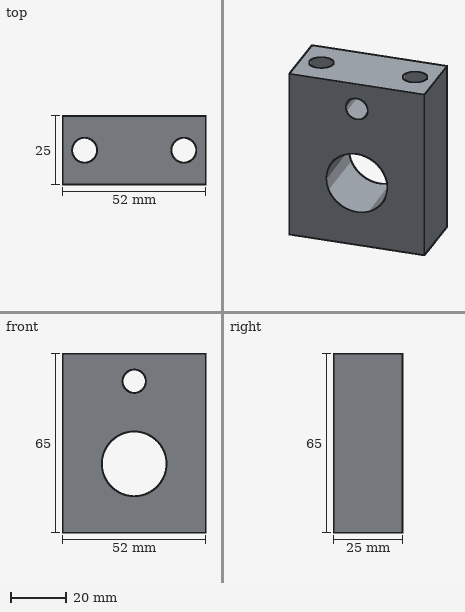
import cadquery as cq

width = 52.0
depth = 25.0
height = 65.0

bore_diameter = 23.4
bore_height = 25.0
cross_hole_diameter = 8.4
cross_hole_height = 55.0

bolt_hole_diameter = 9.0
bolt_hole_spacing = 36.0


def hole_along_y(diameter, centre_height):
    """Cylinder that cuts through the whole depth of the block."""
    return (
        cq.Workplane("XZ")
        .center(0, centre_height)
        .circle(diameter / 2)
        .extrude(depth / 2, both=True)
    )


block = cq.Workplane("XY").box(width, depth, height, centered=(True, True, False))

bolt_holes = (
    cq.Workplane("XY")
    .pushPoints([(-bolt_hole_spacing / 2, 0), (bolt_hole_spacing / 2, 0)])
    .circle(bolt_hole_diameter / 2)
    .extrude(height)
)

result = (
    block
    .cut(hole_along_y(bore_diameter, bore_height))
    .cut(hole_along_y(cross_hole_diameter, cross_hole_height))
    .cut(bolt_holes)
)